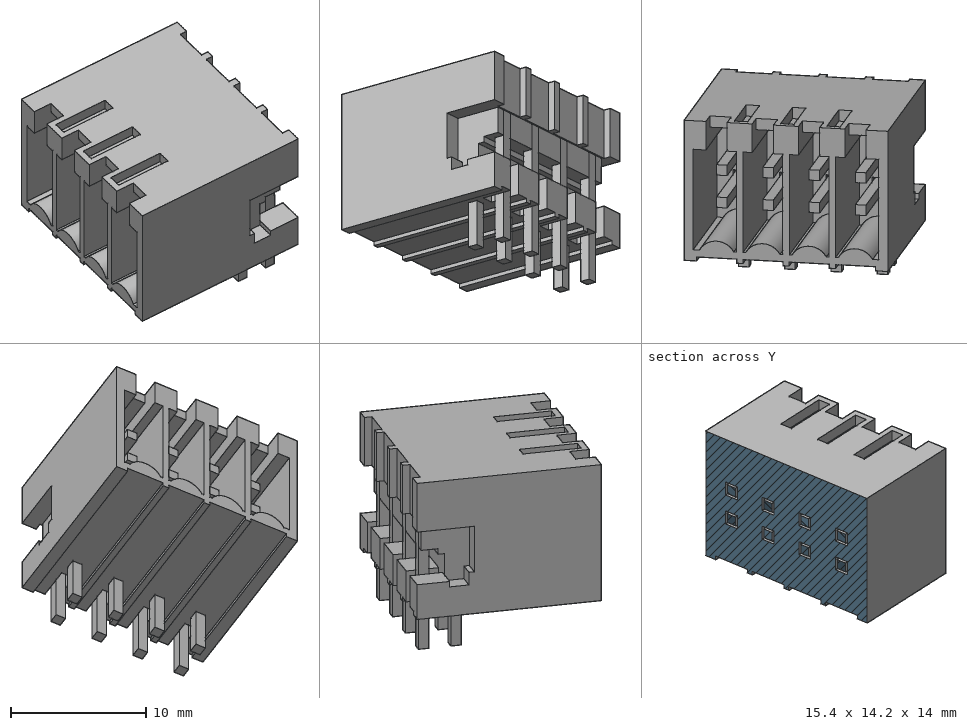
import cadquery as cq


width = 15.4
depth = 14.2
height = 10.8

positions = 4
pitch = 3.5
partition = 0.51
rows = 2
position_xs = [(i - (positions - 1) / 2) * pitch for i in range(positions)]
partition_xs = [(i - (positions - 2) / 2) * pitch for i in range(positions - 1)]

chamber_width = pitch - partition
chamber_depth = 9.01
chamber_floor = 0.86
side_wall = 0.7
shoulder_z = 8.6
roof = 0.86
key_width = 1.6
key_slot_length = 1.51
bump_radius = 1.5
bump_height = 0.75

top_slot_width = 1.0
top_slot_start = 0.51
top_slot_length = 4.47

groove_height = 0.31
groove_width = 3.02

pin_size = 0.8
pin_tip_y = 2.0
pin_bottom = -3.2
upper_row_z = 6.53
row_spacing = 2.5
rear_leg_inset = 0.7
pin_recess_size = 1.08
pin_recess_depth = 0.5

rear_rib = 0.6
rear_end_rib = 1.2
roof_notch_depth = 0.57
leg_slot_width = 1.02
opening_top = upper_row_z + pin_size / 2
opening_floor = 2.75
opening_depth = 2.51
carrier_step_depth = 2.0
carrier_upper_bottom = 4.91
carrier_lower_bottom = 4.47
recess_width = 1.35
recess_floor = 2.33
recess_ledge = 3.33
recess_depth = 4.4
recess_step_depth = rear_leg_inset + row_spacing + pin_size


def block(x_range, y_range, z_range):
    """Box between pairs of limits on the three axes."""
    sizes = [high - low for low, high in (x_range, y_range, z_range)]
    corner = (x_range[0], y_range[0], z_range[0])
    return cq.Workplane("XY").box(*sizes, centered=False).translate(corner)


def centred(x, size):
    """Limits of a span of the given size around x."""
    return (x - size / 2, x + size / 2)


def rear_prism(points, x_range):
    """Prism along X from an outline of (distance from the rear face, Z) points."""
    outline = [(depth - inset, z) for inset, z in points]
    start, end = x_range
    return cq.Workplane("YZ", origin=(start, 0, 0)).polyline(outline).close().extrude(end - start)


def chamber(index):
    """Chamber open at the front, with a narrower top and a rounded bump along its floor.

    The two end chambers reach out to the side walls.
    """
    x = position_xs[index]
    left, right = centred(x, chamber_width)
    if index == 0:
        left = side_wall - width / 2
    if index == positions - 1:
        right = width / 2 - side_wall
    wide_part = block((left, right), (0, chamber_depth), (chamber_floor, shoulder_z))
    narrow_part = block(centred(x, key_width), (0, chamber_depth), (shoulder_z, height - roof))
    bump_axis = (x, 0, chamber_floor + bump_height - bump_radius)
    bump = cq.Workplane("XZ", origin=bump_axis).circle(bump_radius).extrude(-chamber_depth)
    return wide_part.union(narrow_part).cut(bump)


def key_slot(x):
    """Slot through the roof at the mating face."""
    return block(centred(x, key_width), (0, key_slot_length), (height - roof, height))


def top_slot(x):
    """Blind slot in the top face above a partition, as deep as the roof is thick."""
    y_range = (top_slot_start, top_slot_start + top_slot_length)
    return block(centred(x, top_slot_width), y_range, (height - roof, height))


def underside_groove(x):
    """Shallow groove along the underside, over the full depth."""
    return block(centred(x, groove_width), (0, depth), (0, groove_height))


def leg_slot(x):
    """Slot in the rear floor, open to the rear, around a rear leg."""
    return block(centred(x, leg_slot_width), (depth - opening_depth, depth), (0, opening_floor))


def roof_notch(index):
    """Notch in the rear edge of the roof between two ribs."""
    left, right = centred(position_xs[index], pitch - rear_rib)
    if index == 0:
        left = rear_end_rib - width / 2
    if index == positions - 1:
        right = width / 2 - rear_end_rib
    return block((left, right), (depth - roof_notch_depth, depth), (opening_top, height))


def rear_opening():
    """Opening across the full width, behind and under the stepped pin carrier."""
    outline = [
        (0, opening_floor),
        (opening_depth, opening_floor),
        (opening_depth, carrier_lower_bottom),
        (carrier_step_depth, carrier_lower_bottom),
        (carrier_step_depth, carrier_upper_bottom),
        (rear_leg_inset, carrier_upper_bottom),
        (rear_leg_inset, opening_top),
        (0, opening_top),
    ]
    return rear_prism(outline, (-width / 2, width / 2))


def side_recess(x_range):
    """Stepped recess in a side wall beside the pin carrier."""
    outline = [
        (0, opening_floor),
        (opening_depth, opening_floor),
        (opening_depth, recess_floor),
        (recess_step_depth, recess_floor),
        (recess_step_depth, recess_ledge),
        (recess_depth, recess_ledge),
        (recess_depth, opening_top),
        (0, opening_top),
    ]
    return rear_prism(outline, x_range)


def pin(x, row):
    """Square pin: an arm towards the mating face and a leg down. Row 0 is the upper, rear row."""
    arm_z = upper_row_z - row * row_spacing
    arm_top = arm_z + pin_size / 2
    leg_back = depth - rear_leg_inset - row * row_spacing
    x_range = centred(x, pin_size)
    arm = block(x_range, (pin_tip_y, leg_back), centred(arm_z, pin_size))
    leg = block(x_range, (leg_back - pin_size, leg_back), (pin_bottom, arm_top))
    return arm.union(leg)


def pin_recess(x, row):
    """Shallow square recess around a pin in the back wall of its chamber."""
    y_range = (chamber_depth, chamber_depth + pin_recess_depth)
    z_range = centred(upper_row_z - row * row_spacing, pin_recess_size)
    return block(centred(x, pin_recess_size), y_range, z_range)


def make_housing(pin_bodies):
    """Housing block with all its openings and a matching passage for every pin."""
    body = block((-width / 2, width / 2), (0, depth), (0, height))
    for index, x in enumerate(position_xs):
        body = body.cut(chamber(index))
        body = body.cut(key_slot(x))
        body = body.cut(underside_groove(x))
        body = body.cut(leg_slot(x))
        body = body.cut(roof_notch(index))
        for row in range(rows):
            body = body.cut(pin_recess(x, row))
    for x in partition_xs:
        body = body.cut(top_slot(x))
    body = body.cut(rear_opening())
    body = body.cut(side_recess((-width / 2, recess_width - width / 2)))
    body = body.cut(side_recess((width / 2 - recess_width, width / 2)))
    for pin_body in pin_bodies:
        body = body.cut(pin_body)
    return body


pins = [pin(x, row) for x in position_xs for row in range(rows)]
housing = make_housing(pins)

result = cq.Compound.makeCompound([housing.val(), *[body.val() for body in pins]])